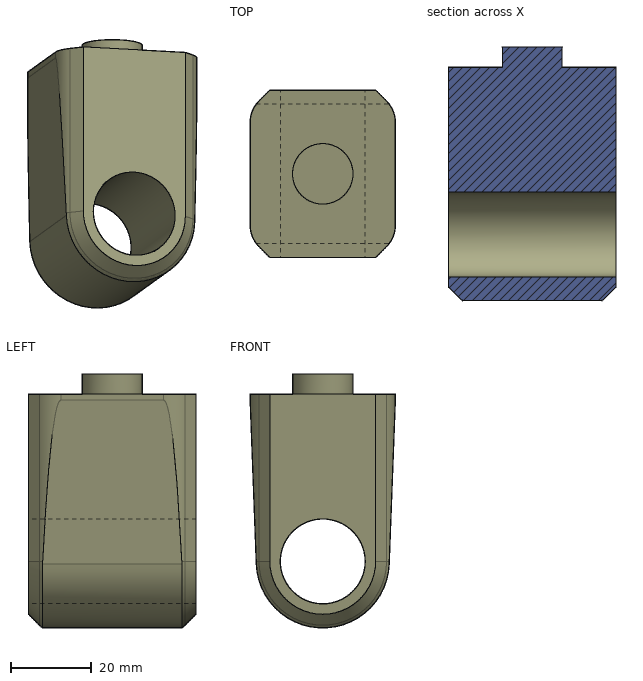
import cadquery as cq
import math

total_height = 63.0
width = 36.05
depth = 41.5

pin_diameter = 15.0
pin_height = 5.05
hole_diameter = 21.0

end_radius = 16.5
straight_side_height = 1.5

corner_radius = 7.55
end_face_half_width = 13.1

half_width = width / 2
half_depth = depth / 2
shoulder_z = total_height - pin_height
axis_z = end_radius
arc_start_x = half_width - corner_radius * (1 - math.cos(math.pi / 4))
arc_start_y = half_depth - (arc_start_x - end_face_half_width)
arc_end_y = arc_start_y - corner_radius * math.sin(math.pi / 4)
arc_mid_x = half_width - corner_radius * (1 - math.cos(math.pi / 8))
arc_mid_y = arc_end_y + corner_radius * math.sin(math.pi / 8)


def half_section():
    """Horizontal half section on +X, drawn at the height of the hole axis."""
    return (
        cq.Workplane("XY", origin=(0, 0, axis_z))
        .moveTo(0, -half_depth)
        .lineTo(end_face_half_width, -half_depth)
        .lineTo(arc_start_x, -arc_start_y)
        .threePointArc((arc_mid_x, -arc_mid_y), (half_width, -arc_end_y))
        .lineTo(half_width, arc_end_y)
        .threePointArc((arc_mid_x, arc_mid_y), (arc_start_x, arc_start_y))
        .lineTo(end_face_half_width, half_depth)
        .lineTo(0, half_depth)
        .close()
    )


def rounded_block():
    """Straight block above the hole axis, with the same section revolved below it."""
    right_half = half_section().extrude(shoulder_z - axis_z)
    left_half = right_half.mirror("YZ")
    lower_end = half_section().revolve(180, (0, 0, 0), (0, 1, 0))
    return right_half.union(left_half).union(lower_end)


def tapered_envelope():
    """Outline along Y: sides tapering down, tangent to the round lower end."""
    taper_top_z = shoulder_z - straight_side_height
    rise = taper_top_z - axis_z
    distance = math.hypot(half_width, rise)
    tangent_angle = math.atan2(rise, half_width) - math.acos(end_radius / distance)
    tangent_x = end_radius * math.cos(tangent_angle)
    tangent_z = axis_z + end_radius * math.sin(tangent_angle)
    return (
        cq.Workplane("XZ")
        .moveTo(-half_width, shoulder_z)
        .lineTo(half_width, shoulder_z)
        .lineTo(half_width, taper_top_z)
        .lineTo(tangent_x, tangent_z)
        .threePointArc((0, axis_z - end_radius), (-tangent_x, tangent_z))
        .lineTo(-half_width, taper_top_z)
        .close()
        .extrude(half_depth, both=True)
    )


body = rounded_block().intersect(tapered_envelope())

pin = (
    cq.Workplane("XY", origin=(0, 0, shoulder_z))
    .circle(pin_diameter / 2)
    .extrude(pin_height)
)

cross_hole = (
    cq.Workplane("XZ", origin=(0, 0, axis_z))
    .circle(hole_diameter / 2)
    .extrude(half_depth, both=True)
)

result = body.union(pin).cut(cross_hole)